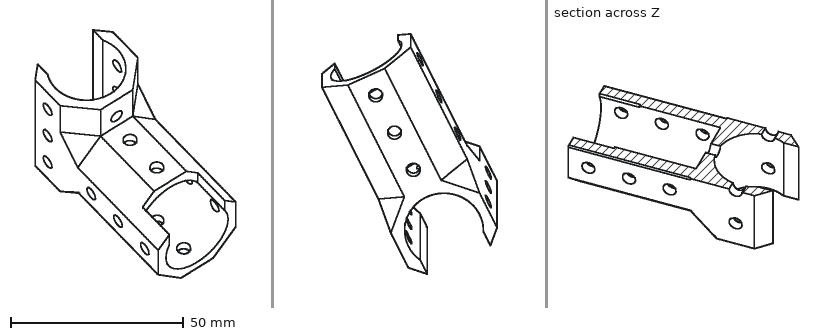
import cadquery as cq
import math

length = 62.4
width = 28.6
height = 41.25
bore_diameter = 22.85
mouth_width = 20.3
socket_depth = 38.1
hole_diameter = 4.0
hole_pitch = socket_depth / 3
overshoot = 0.6

octagon_sides = 8
half_facet_angle = 180 / octagon_sides
half_width = width / 2
half_flat = half_width * math.tan(math.radians(half_facet_angle))
corner = half_width - half_flat
post_right = length - socket_depth
post_x = post_right - half_width
arm_z = half_width
lip_reach = post_x
mouth_start = length - hole_pitch


def octagon(plane, depth):
    """Octagonal prism, flats parallel to the axes, centred on the plane origin."""
    across_corners = width / math.cos(math.radians(half_facet_angle))
    sketch_plane = cq.Workplane(plane).transformed(rotate=(0, 0, half_facet_angle))
    return sketch_plane.polygon(octagon_sides, across_corners).extrude(depth)


def box(x_range, y_range, z_range):
    """Box spanning the given coordinate ranges."""
    ranges = (x_range, y_range, z_range)
    sizes = [high - low for low, high in ranges]
    return cq.Workplane("XY").box(*sizes, centered=False).translate(tuple(low for low, high in ranges))


def corner_cutter(y_side, z_side):
    """Triangular pyramid that bevels one corner of the junction block."""
    reach = corner + 3 * overshoot
    top_or_bottom = arm_z + z_side * half_width
    apex = cq.Vector(
        post_right + overshoot,
        y_side * (half_width + overshoot),
        top_or_bottom + z_side * overshoot,
    )
    tips = [
        apex + cq.Vector(-reach, 0, 0),
        apex + cq.Vector(0, -y_side * reach, 0),
        apex + cq.Vector(0, 0, -z_side * reach),
    ]
    triangles = [tips, [apex, tips[0], tips[1]], [apex, tips[1], tips[2]], [apex, tips[2], tips[0]]]
    faces = [cq.Face.makeFromWires(cq.Wire.makePolygon(points, close=True)) for points in triangles]
    return cq.Workplane(cq.Solid.makeSolid(cq.Shell.makeShell(faces)))


post = octagon(cq.Plane((post_x, 0, 0), normal=(0, 0, 1)), height)
arm_plane = cq.Plane((post_right, 0, arm_z), xDir=(0, 1, 0), normal=(1, 0, 0))
arm = octagon(arm_plane, socket_depth)

junction = box((post_x, post_right), (-half_width, half_width), (0, width))
for y_side in (-1, 1):
    for z_side in (-1, 1):
        junction = junction.cut(corner_cutter(y_side, z_side))

body = post.union(junction).union(arm)

body = body.cut(box((post_x - width, 0), (-width, width), (-overshoot, height + overshoot)))
body = body.cut(box(
    (mouth_start, length + overshoot), (-width, width), (arm_z + lip_reach, height)))

bore_radius = bore_diameter / 2
half_mouth = mouth_width / 2
body = body.cut(cq.Workplane("XY").center(post_x, 0).circle(bore_radius).extrude(height))
body = body.cut(cq.Workplane(arm_plane).circle(bore_radius).extrude(socket_depth))
body = body.cut(box((-overshoot, post_x), (-half_mouth, half_mouth), (-overshoot, height + overshoot)))
body = body.cut(box(
    (mouth_start, length + overshoot), (-half_mouth, half_mouth), (arm_z, height)))

hole_radius = hole_diameter / 2
for step in (-1, 0, 1):
    post_hole_z = height / 2 + step * hole_pitch
    arm_hole_x = post_right + socket_depth / 2 + step * hole_pitch
    for x, z in ((post_x, post_hole_z), (arm_hole_x, arm_z)):
        body = body.cut(cq.Workplane("XZ").center(x, z).circle(hole_radius).extrude(half_width, both=True))
    body = body.cut(cq.Workplane("XY").center(arm_hole_x, 0).circle(hole_radius).extrude(width))
    body = body.cut(
        cq.Workplane("YZ", origin=(post_x, 0, 0)).center(0, post_hole_z).circle(hole_radius).extrude(half_width))

result = body